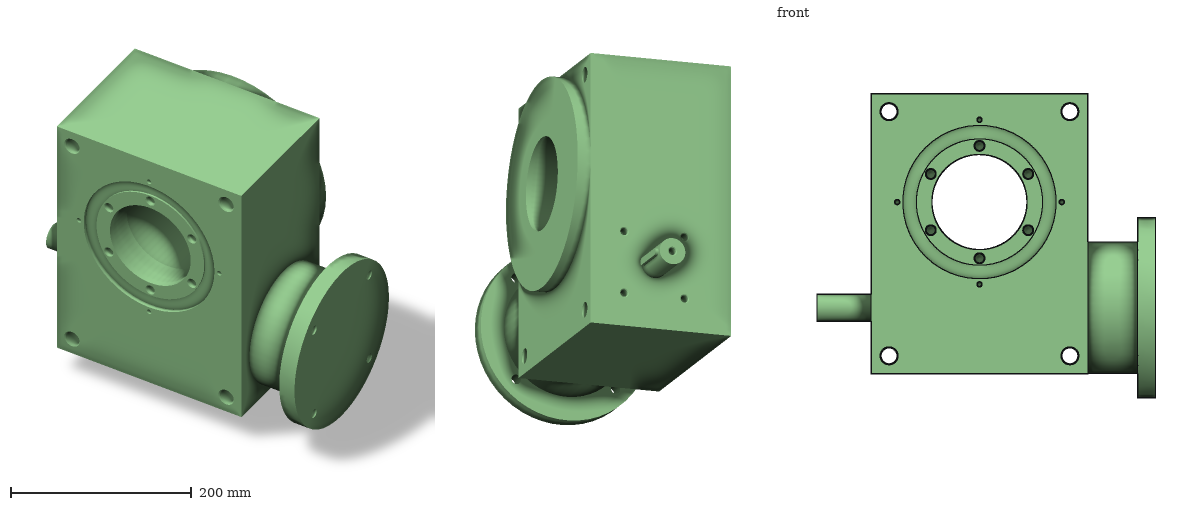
import cadquery as cq
import math


housing_width = 240.0
housing_depth = 165.0
housing_height = 310.0
housing_front = -90.0
housing_bottom = -73.0
housing_back = housing_front + housing_depth
half_width = housing_width / 2
housing_middle_y = housing_front + housing_depth / 2
housing_middle_z = housing_bottom + housing_height / 2

mount_hole_diameter = 17.5
mount_mouth_diameter = 20.0
mount_hole_inset = 20.0

adapter_diameter = 146.0
adapter_length = 55.0
flange_diameter = 200.0
flange_thickness = 20.0
flange_hole_count = 4
flange_hole_diameter = 11.0
flange_hole_circle = 165.0
flange_start = half_width + adapter_length
flange_end = flange_start + flange_thickness

side_hole_count = 4
side_hole_diameter = 8.2
side_mouth_diameter = 10.0
side_hole_circle = 100.0
side_hole_depth = 15.0

output_z = 117.0
seat_diameter = 170.0
seat_depth = 5.0
pin_hole_count = 4
pin_hole_diameter = 5.0
pin_mouth_diameter = 6.0
pin_hole_circle = 182.2
pin_hole_depth = 10.0

hub_diameter = 140.0
hub_recess = 2.5
front_bore_diameter = 105.0
front_bore_depth = 36.0
rear_bore_diameter = 106.0
disc_diameter = 239.0
disc_thickness = 15.0
hub_hole_count = 6
hub_hole_diameter = 10.0
hub_mouth_diameter = 12.0
hub_hole_circle = 124.5
hub_hole_depth = 18.8
hub_front = housing_front + hub_recess
disc_back = housing_back + disc_thickness

shaft_diameter = 30.0
shaft_length = 60.0
shaft_tip = -half_width - shaft_length
center_hole_diameter = 8.2
center_mouth_diameter = 10.0
center_hole_depth = 15.0
key_width = 8.0
key_length = 50.0
key_end_gap = (shaft_length - key_length) / 2
key_top = 18.5

drill_point_angle = 118.0


def plane_facing_y(x, y, z):
    return cq.Plane(origin=(x, y, z), xDir=(1, 0, 0), normal=(0, 1, 0))


def cylinder_y(diameter, start_y, end_y, x, z):
    """A cylinder along Y."""
    return cq.Workplane(plane_facing_y(x, start_y, z)).circle(diameter / 2).extrude(end_y - start_y)


def cylinder_x(diameter, start_x, end_x, y=0.0, z=0.0):
    """A cylinder along X."""
    plane = cq.Plane(origin=(start_x, y, z), xDir=(0, 1, 0), normal=(1, 0, 0))
    return cq.Workplane(plane).circle(diameter / 2).extrude(end_x - start_x)


def drilled_hole(diameter, mouth_diameter, depth, mouth, direction):
    """A cutter for a blind hole with a drill point and a 45 degree countersink."""
    radius = diameter / 2
    mouth_radius = mouth_diameter / 2
    point_length = radius / math.tan(math.radians(drill_point_angle / 2))
    radial = cq.Vector(0, 0, 1)
    plane = cq.Plane(origin=mouth, xDir=radial, normal=radial.cross(cq.Vector(*direction)))
    half_profile = cq.Workplane(plane).polyline([
        (0, 0),
        (mouth_radius, 0),
        (radius, mouth_radius - radius),
        (radius, depth),
        (0, depth + point_length),
    ]).close()
    return half_profile.revolve(360, (0, 0), (0, 1))


def mount_hole(x, z):
    """A cutter for one mounting hole with a 45 degree countersink in the front face."""
    countersink_depth = (mount_mouth_diameter - mount_hole_diameter) / 2
    mouth = cq.Workplane(plane_facing_y(x, housing_front, z)).circle(mount_mouth_diameter / 2)
    countersink = mouth.workplane(offset=countersink_depth).circle(mount_hole_diameter / 2).loft()
    return cylinder_y(mount_hole_diameter, housing_front, housing_back, x, z).union(countersink)


def circle_points(count, circle_diameter, first_angle):
    """Evenly spaced points on a circle about the origin."""
    radius = circle_diameter / 2
    angles = [math.radians(first_angle + index * 360 / count) for index in range(count)]
    return [(radius * math.cos(angle), radius * math.sin(angle)) for angle in angles]


def make_housing():
    body = cq.Workplane("XY").box(housing_width, housing_depth, housing_height)
    body = body.translate((0, housing_middle_y, housing_middle_z))

    body = body.union(cylinder_x(adapter_diameter, half_width, flange_start))
    body = body.union(cylinder_x(flange_diameter, flange_start, flange_end))
    for y, z in circle_points(flange_hole_count, flange_hole_circle, 45):
        body = body.cut(cylinder_x(flange_hole_diameter, flange_start, flange_end, y, z))

    mount_x = half_width - mount_hole_inset
    mount_z = housing_height / 2 - mount_hole_inset
    for x in (-mount_x, mount_x):
        for z in (housing_middle_z - mount_z, housing_middle_z + mount_z):
            body = body.cut(mount_hole(x, z))

    for y, z in circle_points(side_hole_count, side_hole_circle, 45):
        mouth = (-half_width, y, z)
        body = body.cut(
            drilled_hole(side_hole_diameter, side_mouth_diameter, side_hole_depth, mouth, (1, 0, 0))
        )

    seat_floor = housing_front + seat_depth
    body = body.cut(cylinder_y(hub_diameter, housing_front, housing_back, 0, output_z))
    body = body.cut(cylinder_y(seat_diameter, housing_front, seat_floor, 0, output_z))

    for x, z in circle_points(pin_hole_count, pin_hole_circle, 0):
        mouth = (x, housing_front, output_z + z)
        body = body.cut(
            drilled_hole(pin_hole_diameter, pin_mouth_diameter, pin_hole_depth, mouth, (0, 1, 0))
        )
    return body


def make_hub():
    sleeve = cylinder_y(hub_diameter, hub_front, housing_back, 0, output_z)
    disc = cylinder_y(disc_diameter, housing_back, disc_back, 0, output_z)
    body = sleeve.union(disc)

    bore_step = hub_front + front_bore_depth
    body = body.cut(cylinder_y(front_bore_diameter, hub_front, bore_step, 0, output_z))
    body = body.cut(cylinder_y(rear_bore_diameter, bore_step, disc_back, 0, output_z))

    for x, z in circle_points(hub_hole_count, hub_hole_circle, 90):
        mouth = (x, hub_front, output_z + z)
        body = body.cut(
            drilled_hole(hub_hole_diameter, hub_mouth_diameter, hub_hole_depth, mouth, (0, 1, 0))
        )
    return body


def make_shaft():
    body = cylinder_x(shaft_diameter, shaft_tip, -half_width)

    key_middle_x = shaft_tip + key_end_gap + key_length / 2
    key = cq.Workplane(plane_facing_y(key_middle_x, 0, 0)).slot2D(key_length, key_width)
    body = body.union(key.extrude(key_top))

    mouth = (shaft_tip, 0, 0)
    return body.cut(
        drilled_hole(center_hole_diameter, center_mouth_diameter, center_hole_depth, mouth, (1, 0, 0))
    )


housing = make_housing()
hub = make_hub()
shaft = make_shaft()

result = cq.Compound.makeCompound([housing.val(), hub.val(), shaft.val()])